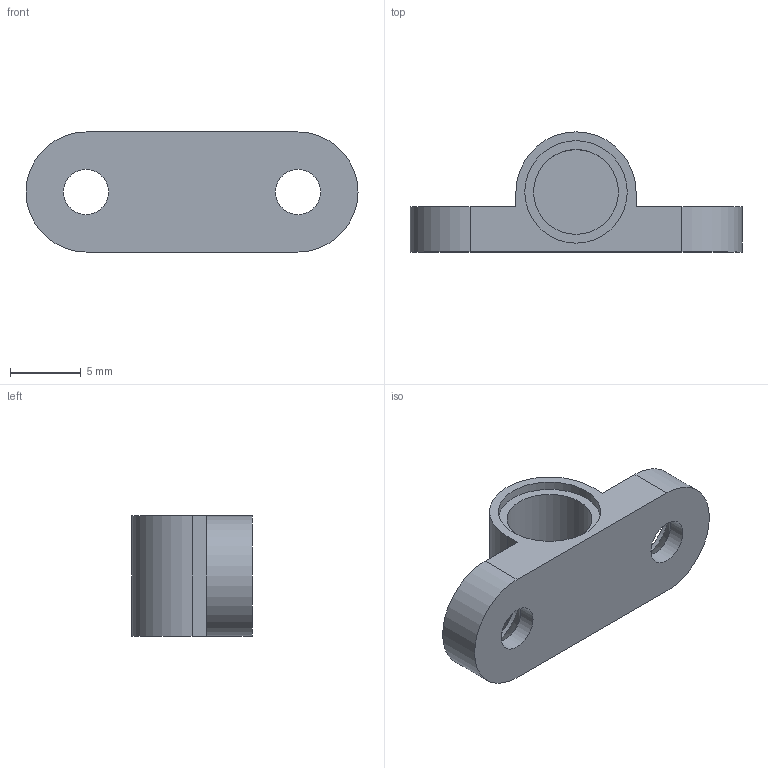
import cadquery as cq

hole_spacing = 15.0
plate_height = 8.5
plate_length = hole_spacing + plate_height
plate_thickness = 3.2

screw_hole_diameter = 3.2
screw_head_diameter = 6.5
head_pocket_depth = 0.32
cone_depth = (screw_head_diameter - screw_hole_diameter) / 2

cup_diameter = plate_height
cup_radius = cup_diameter / 2
wall_thickness = 1.25
bore_diameter = cup_diameter - 2 * wall_thickness
bore_depth = plate_height - wall_thickness

rim_recess_depth = wall_thickness / 2
rim_recess_diameter = bore_diameter + wall_thickness

top_z = plate_height / 2


def make_plate():
    """Flange with full-round ends; -Y face on Y = 0, thickness toward +Y."""
    return (
        cq.Workplane("XZ")
        .slot2D(plate_length, plate_height)
        .extrude(-plate_thickness)
    )


def make_cup_body():
    """Round boss joined to the plate by straight flanks."""
    cylinder = (
        cq.Workplane("XY", origin=(0, cup_radius, -top_z))
        .circle(cup_radius)
        .extrude(plate_height)
    )
    flanks = cq.Workplane("XY").box(
        cup_diameter, cup_radius, plate_height, centered=(True, False, True)
    )
    return cylinder.union(flanks)


def cut_screw_holes(body):
    """Two holes along Y, countersunk from the plate's +Y face."""
    hole_radius = screw_hole_diameter / 2
    head_radius = screw_head_diameter / 2
    cone_end = plate_thickness - head_pocket_depth
    cone_start = cone_end - cone_depth
    cutter = (
        cq.Workplane("XY")
        .moveTo(0, 0)
        .lineTo(hole_radius, 0)
        .lineTo(hole_radius, cone_start)
        .lineTo(head_radius, cone_end)
        .lineTo(head_radius, plate_thickness)
        .lineTo(0, plate_thickness)
        .close()
        .revolve(360, (0, 0, 0), (0, 1, 0))
    )
    for hole_x in (-hole_spacing / 2, hole_spacing / 2):
        body = body.cut(cutter.translate((hole_x, 0, 0)))
    return body


def cut_from_top(body, diameter, depth):
    """Round pocket on the cup axis, sunk from the top face."""
    cutter = (
        cq.Workplane("XY", origin=(0, cup_radius, top_z))
        .circle(diameter / 2)
        .extrude(-depth)
    )
    return body.cut(cutter)


result = make_plate().union(make_cup_body())
result = cut_screw_holes(result)
result = cut_from_top(result, bore_diameter, bore_depth)
result = cut_from_top(result, rim_recess_diameter, rim_recess_depth)